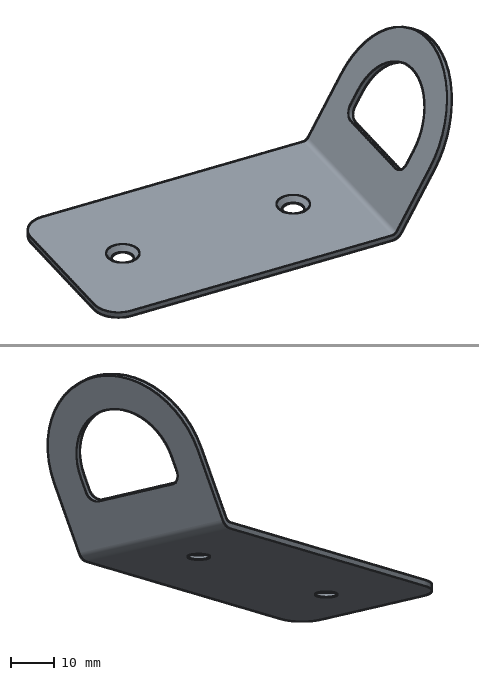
import cadquery as cq
import math

width = 44.45
length = 96.8
height = 36.5
thickness = 1.5
bend_angle = 60.0
inner_bend_radius = 1.5
outer_bend_radius = inner_bend_radius + thickness

front_corner_radius = 6.4
hole_diameter = 5.1
countersink_diameter = 7.7
countersink_angle = 90.0
front_hole_y = 15.8
hole_spacing = 44.5

slot_width = 28.1
slot_radius = slot_width / 2
slot_drop = 6.5
slot_corner_radius = 2.8

bend_sin = math.sin(math.radians(bend_angle))
bend_cos = math.cos(math.radians(bend_angle))
tab_length = (height - thickness - inner_bend_radius * (1 - bend_cos)) / bend_sin
base_length = length - outer_bend_radius * bend_sin - tab_length * bend_cos
arc_center_distance = tab_length - width / 2


def make_base():
    """Flat plate with rounded front corners and countersunk holes."""
    base = (
        cq.Workplane("XY")
        .box(width, base_length, thickness, centered=(True, False, False))
        .edges("|Z and <Y")
        .fillet(front_corner_radius)
    )
    hole_points = [(0, front_hole_y), (0, front_hole_y + hole_spacing)]
    return (
        base.faces(">Z")
        .workplane(origin=(0, 0, thickness))
        .pushPoints(hole_points)
        .cskHole(hole_diameter, countersink_diameter, countersink_angle)
    )


def bend_point(radius, angle):
    """Point in the YZ plane on a bend arc, at an angle swept from the base."""
    swept = math.radians(angle)
    y = base_length + radius * math.sin(swept)
    z = outer_bend_radius - radius * math.cos(swept)
    return (y, z)


def make_bend():
    """Curved strip joining the base to the tab."""
    return (
        cq.Workplane("YZ")
        .moveTo(*bend_point(outer_bend_radius, 0))
        .threePointArc(
            bend_point(outer_bend_radius, bend_angle / 2),
            bend_point(outer_bend_radius, bend_angle),
        )
        .lineTo(*bend_point(inner_bend_radius, bend_angle))
        .threePointArc(
            bend_point(inner_bend_radius, bend_angle / 2),
            bend_point(inner_bend_radius, 0),
        )
        .close()
        .extrude(width / 2, both=True)
    )


def round_topped_plate(plate_width, bottom, arc_center):
    """Plate on the tab plane with a straight bottom and a semicircular top."""
    radius = plate_width / 2
    start_y, start_z = bend_point(outer_bend_radius, bend_angle)
    tab_plane = cq.Plane(
        origin=(0, start_y, start_z),
        xDir=(1, 0, 0),
        normal=(0, -bend_sin, bend_cos),
    )
    return (
        cq.Workplane(tab_plane)
        .moveTo(-radius, bottom)
        .lineTo(radius, bottom)
        .lineTo(radius, arc_center)
        .threePointArc((0, arc_center + radius), (-radius, arc_center))
        .close()
        .extrude(thickness)
    )


def make_tab():
    """Tilted round-topped tab with its handle opening."""
    tab = round_topped_plate(width, 0, arc_center_distance)
    slot_bottom = arc_center_distance - slot_drop
    slot = round_topped_plate(slot_width, slot_bottom, arc_center_distance)
    through_direction = cq.Vector(0, -bend_sin, bend_cos)
    slot = (
        slot.edges(cq.selectors.ParallelDirSelector(through_direction))
        .edges("<Z")
        .fillet(slot_corner_radius)
    )
    return tab.cut(slot)


result = make_base().union(make_bend()).union(make_tab())